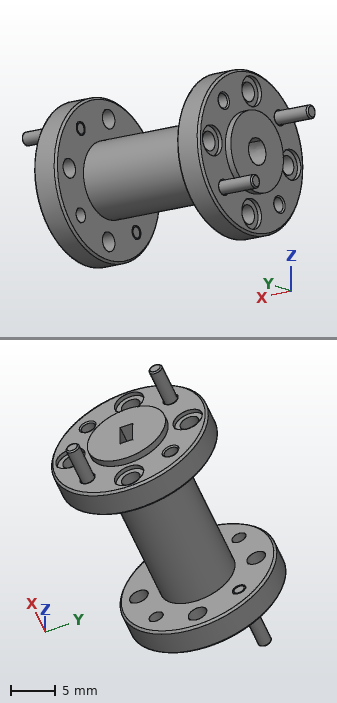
import cadquery as cq
import math

overall_length = 33.15
flange_face_span = 23.87
flange_thickness = 3.28
boss_height = 0.8

flange_diameter = 19.05
tube_diameter = 9.1
boss_diameter = 9.5
flange_chamfer = 0.25

bore_diameter = 3.15
slot_width = 1.52
slot_height = 3.1

bolt_circle_radius = 7.13
bolt_hole_diameter = 2.25
counterbore_diameter = 3.55
counterbore_depth = 0.5
bolt_angles = (0, 90, 180, 270)

pin_diameter = 1.6
pin_chamfer = 0.15
pin_hole_chamfer = 0.13
clearance_hole_diameter = 1.7
clearance_hole_chamfer = 0.15

face_x = flange_face_span / 2
inner_x = face_x - flange_thickness
boss_x = face_x + boss_height
pin_length = overall_length / 2 - inner_x

left_end = {"outward": -1, "pin_angles": (135, 315), "clearance_angles": (45, 225)}
right_end = {"outward": 1, "pin_angles": (45, 225), "clearance_angles": (135, 315)}
ends = (left_end, right_end)


def cylinder(x_start, length, diameter, outward=1):
    """Cylinder on the X axis, growing from x_start in the outward direction."""
    axis = cq.Vector(outward, 0, 0)
    return cq.Workplane(cq.Solid.makeCylinder(diameter / 2, length, cq.Vector(x_start, 0, 0), axis))


def on_bolt_circle(shape, angle):
    """Move a shape from the X axis out to the bolt circle at the given angle."""
    return shape.translate((0, bolt_circle_radius, 0)).rotate((0, 0, 0), (1, 0, 0), angle)


def make_flange(outward):
    """Chamfered flange disc with its raised centre boss."""
    disc = cylinder(outward * inner_x, flange_thickness, flange_diameter, outward)
    disc = disc.edges("%CIRCLE").chamfer(flange_chamfer)
    boss = cylinder(outward * inner_x, boss_x - inner_x, boss_diameter, outward)
    return disc.union(boss)


def countersink(outward, hole_diameter, chamfer):
    """Cone that chamfers the mouth of a hole on the outer flange face."""
    hole_radius = hole_diameter / 2
    mouth = cq.Vector(outward * face_x, 0, 0)
    inward = cq.Vector(-outward, 0, 0)
    return cq.Workplane(cq.Solid.makeCone(hole_radius + chamfer, hole_radius, chamfer, mouth, inward))


def make_bolt_hole(outward):
    """Through hole with a counterbore on the outer flange face."""
    hole = cylinder(outward * inner_x, flange_thickness, bolt_hole_diameter, outward)
    return hole.union(cylinder(outward * face_x, counterbore_depth, counterbore_diameter, -outward))


def make_chamfered_hole(outward, diameter, chamfer):
    """Through hole with a chamfered mouth on the outer flange face."""
    hole = cylinder(outward * inner_x, flange_thickness, diameter, outward)
    return hole.union(countersink(outward, diameter, chamfer))


def make_passage():
    """Smooth transition from a round opening to a rectangular one along the whole body.

    The round end is split into four arcs that meet on the diagonals of the rectangular end.
    """
    radius = bore_diameter / 2
    diagonal_angle = math.atan2(slot_height, slot_width)
    corner_y = radius * math.cos(diagonal_angle)
    corner_z = radius * math.sin(diagonal_angle)
    return (
        cq.Workplane("YZ", origin=(-boss_x, 0, 0))
        .moveTo(-corner_y, -corner_z)
        .threePointArc((0, -radius), (corner_y, -corner_z))
        .threePointArc((radius, 0), (corner_y, corner_z))
        .threePointArc((0, radius), (-corner_y, corner_z))
        .threePointArc((-radius, 0), (-corner_y, -corner_z))
        .close()
        .workplane(offset=2 * boss_x)
        .rect(slot_width, slot_height)
        .loft()
    )


def make_housing():
    """Tube with a flange at each end, the waveguide passage and all flange holes."""
    body = cylinder(-inner_x, 2 * inner_x, tube_diameter)
    for end in ends:
        outward = end["outward"]
        body = body.union(make_flange(outward))
        bolt_hole = make_bolt_hole(outward)
        pin_hole = make_chamfered_hole(outward, pin_diameter, pin_hole_chamfer)
        clearance_hole = make_chamfered_hole(outward, clearance_hole_diameter, clearance_hole_chamfer)
        for angle in bolt_angles:
            body = body.cut(on_bolt_circle(bolt_hole, angle))
        for angle in end["pin_angles"]:
            body = body.cut(on_bolt_circle(pin_hole, angle))
        for angle in end["clearance_angles"]:
            body = body.cut(on_bolt_circle(clearance_hole, angle))
    return body.cut(make_passage())


def make_pin(outward, angle):
    """Dowel pin with chamfered ends, flush with the inner flange face."""
    pin = cylinder(outward * inner_x, pin_length, pin_diameter, outward)
    return on_bolt_circle(pin.edges("%CIRCLE").chamfer(pin_chamfer), angle)


housing = make_housing()
pins = [make_pin(end["outward"], angle) for end in ends for angle in end["pin_angles"]]

result = cq.Compound.makeCompound([housing.val(), *[pin.val() for pin in pins]])